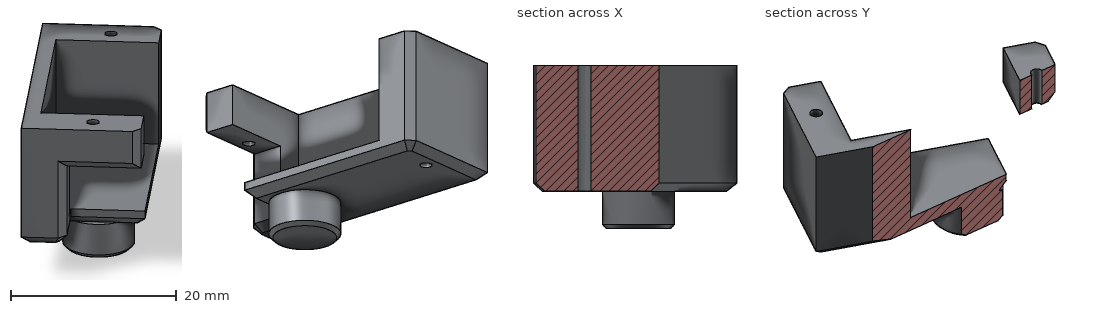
import cadquery as cq

turn_angle = -20.0
length = 33.1
depth = 14.45
body_height = 15.25
chamfer = 1.0

end_wall = 5.05
front_wall = 2.0
floor_thickness = 2.0
pocket_right = length - end_wall

step_depth = 5.45
slot_width = 1.9
floor_right = pocket_right - slot_width
ear_thickness = 5.18

centre_line = 8.5
hole_diameter = 1.5
hole_inset = 2.6
pin_diameter = 8.7
pin_length = 4.5
pin_chamfer = 0.5
pin_x = 21.67


def make_body():
    """Stepped block with chamfered outer back corners and bottom rim."""
    outline = [
        (0, 0),
        (length, 0),
        (length, step_depth - chamfer),
        (length - chamfer, step_depth),
        (floor_right, step_depth),
        (floor_right, depth),
        (chamfer, depth),
        (0, depth - chamfer),
    ]
    block = cq.Workplane("XY").polyline(outline).close().extrude(body_height)
    return block.faces("<Z").edges().chamfer(chamfer)


def make_ear():
    """Arm at the top right, reaching from the front wall to the back."""
    ear = (
        cq.Workplane("XY")
        .workplane(offset=body_height - ear_thickness)
        .moveTo(pocket_right, front_wall)
        .lineTo(length, front_wall)
        .lineTo(length, depth)
        .lineTo(pocket_right, depth)
        .close()
        .extrude(ear_thickness)
    )
    ear = ear.edges(">X and <Z").chamfer(chamfer)
    corner = (
        cq.Workplane("XY")
        .moveTo(length, depth)
        .lineTo(length - chamfer, depth)
        .lineTo(length, depth - chamfer)
        .close()
        .extrude(body_height)
    )
    root = cq.Workplane("XY").box(
        length, step_depth - chamfer, body_height, centered=False
    )
    return ear.cut(corner).cut(root)


def make_pocket():
    """Clearance between the two end walls, above the floor."""
    return (
        cq.Workplane("XY")
        .box(pocket_right - end_wall, depth - front_wall, body_height, centered=False)
        .translate((end_wall, front_wall, floor_thickness))
    )


def make_holes():
    """Vertical through holes, one in each end."""
    return (
        cq.Workplane("XY")
        .pushPoints([(x, centre_line) for x in (hole_inset, length - hole_inset)])
        .circle(hole_diameter / 2)
        .extrude(body_height)
    )


def make_pin():
    """Round pin below the floor with a chamfered tip."""
    pin = (
        cq.Workplane("XY")
        .center(pin_x, centre_line)
        .circle(pin_diameter / 2)
        .extrude(-pin_length)
    )
    return pin.faces("<Z").edges().chamfer(pin_chamfer)


part = make_body().union(make_ear()).cut(make_pocket()).cut(make_holes()).union(make_pin())
result = part.rotate((0, 0, 0), (0, 0, 1), turn_angle)